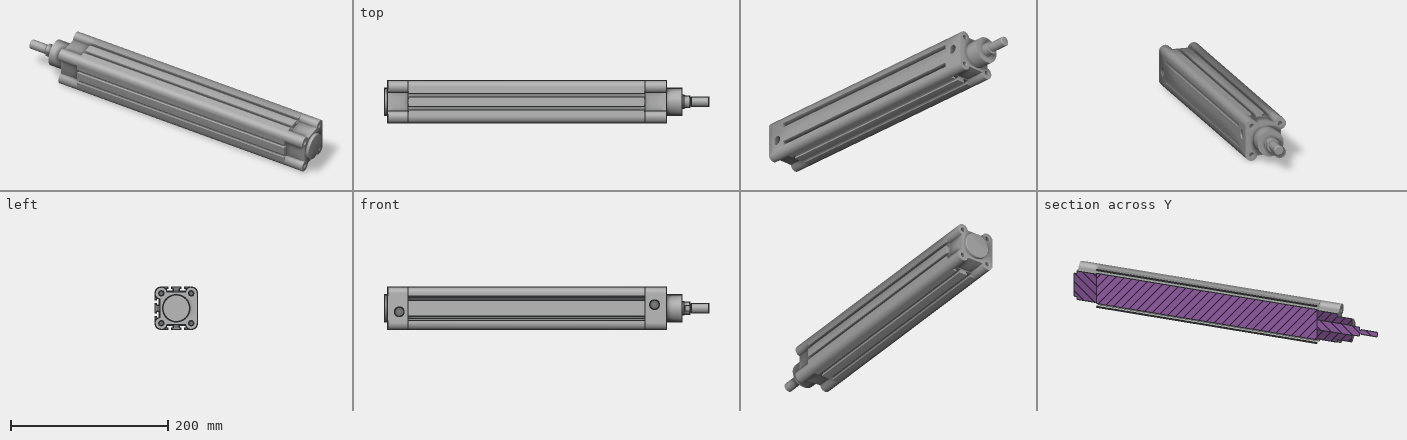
import cadquery as cq
import math


total_length = 413.0
width = 54.0
bolt_offset = 19.0

spigot_length = 4.0
rear_cap_length = 26.0
front_cap_length = 27.5
boss_length = 20.0
collar_radius = 17.5

recess_depth = 6.5
lobe_radius = 7.5
bolt_hole_radius = 3.0
bolt_hole_depth = 16.5
hole_chamfer = 0.5
collar_chamfer = 0.5
port_radius = 5.8
port_depth = 12.5
port_height = 4.5
rear_port_inset = 15.0
front_port_inset = 15.3

rod_radius = 8.3
rod_reach = 10.0
ring_radius = 8.5
ring_length = 2.5
flats_length = 6.0
flat_offset = 7.5
thread_radius = 6.0
thread_chamfer = 1.0
thread_length = 23.0
relief_length = 1.2

slot_offset = 8.3
slot_mouth = 5.0
slot_inner_width = 8.3
slot_lip = 2.0
slot_depth = 5.5

groove_inner = 10.0
groove_outer = 15.5
groove_floor_inner = 10.7
groove_floor_outer = 13.2
groove_depth = 7.0

half = width / 2
corner_radius = half - bolt_offset
rear_face = spigot_length
barrel_start = rear_face + rear_cap_length
rod_shoulder = total_length - thread_length - relief_length
boss_end = rod_shoulder - rod_reach
front_face = boss_end - boss_length
barrel_end = front_face - front_cap_length


def section(x):
    """Workplane across the axis at x, with local X along +Y and local Y along +Z."""
    return cq.Workplane("YZ", origin=(x, 0, 0))


def rounded_bar(start, end):
    bar = section(start).rect(width, width).extrude(end - start)
    return bar.edges("|X").fillet(corner_radius)


def disc(start, end, radius):
    return section(start).circle(radius).extrude(end - start)


def turned_about_axis(shape, angle):
    return shape.rotate((0, 0, 0), (1, 0, 0), angle)


def t_slot(center):
    """T-slot in the +Z side, along the whole barrel."""
    mouth = slot_mouth / 2
    inner = slot_inner_width / 2
    outline = [
        (center - mouth, half),
        (center - mouth, half - slot_lip),
        (center - inner, half - slot_lip),
        (center - inner, half - slot_depth),
        (center + inner, half - slot_depth),
        (center + inner, half - slot_lip),
        (center + mouth, half - slot_lip),
        (center + mouth, half),
    ]
    return section(barrel_start).polyline(outline).close().extrude(barrel_end - barrel_start)


def tapered_groove(side):
    """Groove in the -Y side, above (side = 1) or below (side = -1) the middle."""
    floor = groove_depth - half
    outline = [
        (-half, side * groove_inner),
        (floor, side * groove_floor_inner),
        (floor, side * groove_floor_outer),
        (-half, side * groove_outer),
    ]
    return section(barrel_start).polyline(outline).close().extrude(barrel_end - barrel_start)


def make_barrel():
    barrel = rounded_bar(barrel_start, barrel_end)
    for side in (-1, 1):
        barrel = barrel.cut(tapered_groove(side))
        for angle in (0, 180, -90):
            barrel = barrel.cut(turned_about_axis(t_slot(side * slot_offset), angle))
    return barrel


recess_floor = half - recess_depth
lobe_center_height = half - lobe_radius
lobe_foot = bolt_offset - math.sqrt(lobe_radius**2 - (recess_floor - lobe_center_height)**2)
arc_fraction = math.sqrt(0.5)
lobe_mid = bolt_offset - lobe_radius * arc_fraction
lobe_mid_height = lobe_center_height + lobe_radius * arc_fraction
corner_mid = bolt_offset + corner_radius * arc_fraction


def chamfered_hole(mouth, direction, radius, depth):
    bore = cq.Solid.makeCylinder(radius, depth, mouth, direction)
    bevel = cq.Solid.makeCone(radius + hole_chamfer, radius, hole_chamfer, mouth, direction)
    return bore.fuse(bevel)


def cap_block(start, end):
    outline = (
        section(start)
        .moveTo(-half, bolt_offset)
        .threePointArc((-corner_mid, corner_mid), (-bolt_offset, half))
        .threePointArc((-lobe_mid, lobe_mid_height), (-lobe_foot, recess_floor))
        .lineTo(lobe_foot, recess_floor)
        .threePointArc((lobe_mid, lobe_mid_height), (bolt_offset, half))
        .threePointArc((corner_mid, corner_mid), (half, bolt_offset))
        .threePointArc((lobe_mid_height, lobe_mid), (recess_floor, lobe_foot))
        .lineTo(recess_floor, -lobe_foot)
        .threePointArc((lobe_mid_height, -lobe_mid), (half, -bolt_offset))
        .threePointArc((corner_mid, -corner_mid), (bolt_offset, -half))
        .threePointArc((lobe_mid, -lobe_mid_height), (lobe_foot, -recess_floor))
        .lineTo(-lobe_foot, -recess_floor)
        .threePointArc((-lobe_mid, -lobe_mid_height), (-bolt_offset, -half))
        .threePointArc((-corner_mid, -corner_mid), (-half, -bolt_offset))
        .close()
    )
    return outline.extrude(end - start)


def cut_bolt_holes(cap, face, direction):
    """Cut the four corner holes, running from an end face along X."""
    for y in (-bolt_offset, bolt_offset):
        for z in (-bolt_offset, bolt_offset):
            mouth = cq.Vector(face, y, z)
            inward = cq.Vector(direction, 0, 0)
            cap = cap.cut(chamfered_hole(mouth, inward, bolt_hole_radius, bolt_hole_depth))
    return cap


def cut_air_port(cap, x, z):
    """Cut the port in the -Y side."""
    mouth = cq.Vector(x, -half, z)
    return cap.cut(chamfered_hole(mouth, cq.Vector(0, 1, 0), port_radius, port_depth))


def make_rear_cap():
    spigot = disc(0, rear_face, collar_radius).faces("<X").chamfer(collar_chamfer)
    cap = cap_block(rear_face, barrel_start).union(spigot)
    cap = cut_bolt_holes(cap, rear_face, 1)
    return cut_air_port(cap, rear_face + rear_port_inset, -port_height)


def make_front_cap():
    cap = cap_block(barrel_end, front_face).union(disc(front_face, boss_end, collar_radius))
    cap = cap.cut(disc(barrel_end, boss_end, rod_radius))
    cap = cut_bolt_holes(cap, front_face, -1)
    return cut_air_port(cap, front_face - front_port_inset, port_height)


def make_rod():
    flats_start = rod_shoulder - flats_length
    thread_start = rod_shoulder + relief_length
    flats = section(flats_start).rect(2 * flat_offset, 2 * ring_radius).extrude(flats_length)
    flatted = disc(flats_start, rod_shoulder, rod_radius).intersect(flats)
    ring = disc(boss_end, boss_end + ring_length, ring_radius)
    relief = disc(rod_shoulder, thread_start, thread_radius - thread_chamfer)
    thread = disc(thread_start, total_length, thread_radius).faces("|X").chamfer(thread_chamfer)
    rod = disc(barrel_end, flats_start, rod_radius).union(ring)
    return rod.union(flatted).union(relief).union(thread)


barrel = make_barrel()
rear_cap = make_rear_cap()
front_cap = make_front_cap()
rod = make_rod()

result = cq.Compound.makeCompound([barrel.val(), rear_cap.val(), front_cap.val(), rod.val()])